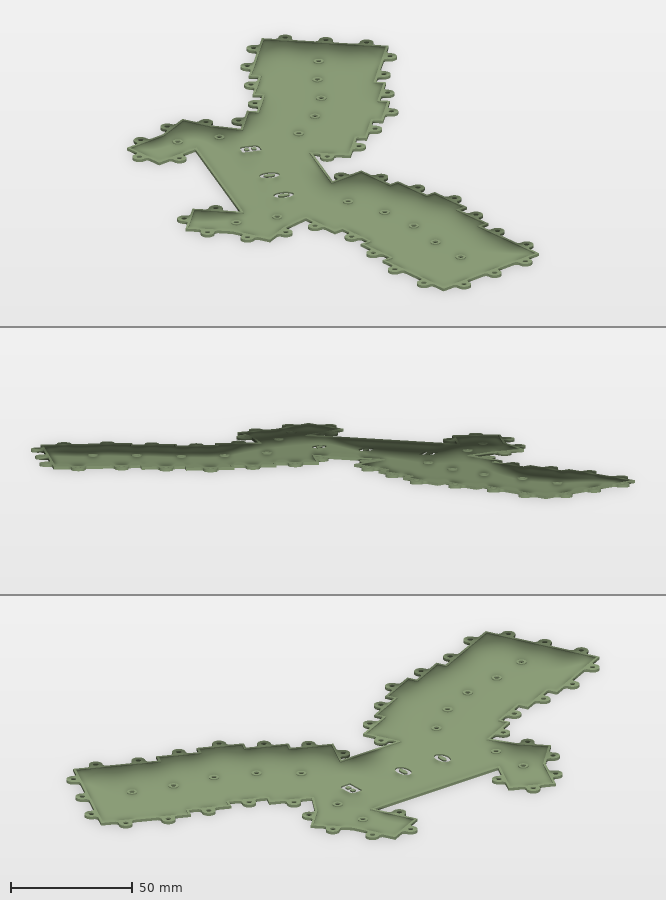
import cadquery as cq
import math

PLATE_T = 1.2
FLOOR_T = 0.7

KEY_W = 18.0
KEY_H = 17.0
STAGGER = 4.2
ROWS = 3
COLUMN_SHIFTS = [0, 0, STAGGER, 2 * STAGGER, STAGGER, 0]
COLUMNS = len(COLUMN_SHIFTS)

MARGIN = 1.0
RIM_W = MARGIN

WING_ANGLE = -25
FIRST_COLUMN_X = -124.3
FIRST_COLUMN_Y = -11.5

INNER_THUMB = (-36.7, -53.2)
INNER_THUMB_ANGLE = 25
OUTER_THUMB = (-48.7, -35.5)
OUTER_THUMB_ANGLE = 45
OUTER_THUMB_EDGE_END = 3.6

BRIDGE_TOP = 5.7
BRIDGE_BOTTOM = -39.3

HOLE_D = 2.2
BOSS_D = 4.2
TAB_R = 2.9
TAB_REACH = 2.0
TAB_FLARE_R = 1.5
TAB_ROOT = RIM_W / 2
THUMB_SCREWS = [(-41.2, -26.3), (-41.7, -44.0)]

SLOT_Y = -17.2
OVAL_SLOTS_X = [0, 20.3]
OVAL_SLOT_W = 5.7
OVAL_SLOT_H = 8.5
OVAL_WALL = 1.8
TWIN_SLOT_X = -27.4
TWIN_SLOT_W = 5.7
TWIN_SLOT_H = 8.3
TWIN_SLOT_CORNER_R = 2.0
TWIN_ISLAND = 1.8
TWIN_ISLAND_PITCH = 3.0

KEY_HALF_W = KEY_W / 2 + MARGIN
KEY_HALF_H = KEY_H / 2 + MARGIN
COLUMN_HALF_H = ROWS * KEY_H / 2 + MARGIN
WING_LEFT = FIRST_COLUMN_X - MARGIN
WING_RIGHT = FIRST_COLUMN_X + COLUMNS * KEY_W + MARGIN


def turned(x, y, angle, origin=(0, 0)):
    """Point (x, y) of axes that are turned by the angle and start at the origin given."""
    a = math.radians(angle)
    return (
        origin[0] + x * math.cos(a) - y * math.sin(a),
        origin[1] + x * math.sin(a) + y * math.cos(a),
    )


def crossing(p, q, r, s):
    """Point where the line through p and q meets the line through r and s."""
    dx1, dy1 = q[0] - p[0], q[1] - p[1]
    dx2, dy2 = s[0] - r[0], s[1] - r[1]
    t = ((r[0] - p[0]) * dy2 - (r[1] - p[1]) * dx2) / (dx1 * dy2 - dy1 * dx2)
    return (p[0] + t * dx1, p[1] + t * dy1)


def inset(points, distance):
    """Clockwise outline moved inward by the distance, with sharp corners."""
    edges = []
    for p, q in zip(points, points[1:] + points[:1]):
        length = math.dist(p, q)
        dx = (q[1] - p[1]) * distance / length
        dy = (p[0] - q[0]) * distance / length
        edges.append(((p[0] + dx, p[1] + dy), (q[0] + dx, q[1] + dy)))
    return [crossing(*before, *after) for before, after in zip(edges[-1:] + edges[:-1], edges)]


def mirrored(points):
    return [(-x, y) for x, y in points]


def wing(x, y):
    return turned(x, y, WING_ANGLE)


def inner_thumb(x, y):
    return turned(x, y, INNER_THUMB_ANGLE, INNER_THUMB)


def outer_thumb(x, y):
    return turned(x, y, OUTER_THUMB_ANGLE, OUTER_THUMB)


def column_middle_x(column):
    return FIRST_COLUMN_X + (column + 0.5) * KEY_W


def column_steps(side):
    """Corners of the steps between columns, outer end first; side is 1 on top, -1 below."""
    points = []
    for column in range(1, COLUMNS):
        before = COLUMN_SHIFTS[column - 1]
        after = COLUMN_SHIFTS[column]
        if before == after:
            continue
        rises = side * (after - before) > 0
        x = FIRST_COLUMN_X + column * KEY_W + (-MARGIN if rises else MARGIN)
        for shift in (before, after):
            points.append(wing(x, FIRST_COLUMN_Y + shift + side * COLUMN_HALF_H))
    return points


def wing_outline():
    """Wing edge, clockwise from the corner at the thumb keys to the inner top corner."""
    lower = column_steps(-1)[:-1]
    return (
        lower[::-1]
        + [wing(WING_LEFT, FIRST_COLUMN_Y - COLUMN_HALF_H)]
        + [wing(WING_LEFT, FIRST_COLUMN_Y + COLUMN_HALF_H)]
        + column_steps(1)
        + [wing(WING_RIGHT, FIRST_COLUMN_Y + COLUMN_SHIFTS[-1] + COLUMN_HALF_H)]
    )


def thumb_outline():
    """Thumb key edges, clockwise from the bridge to the gap beside the wing."""
    inner_right = (inner_thumb(KEY_HALF_W, 0), inner_thumb(KEY_HALF_W, 2.5))
    inner_left = (inner_thumb(-KEY_HALF_W, 0), inner_thumb(-KEY_HALF_W, 2.5))
    outer_left = (outer_thumb(-KEY_HALF_W, 0), outer_thumb(-KEY_HALF_W, 2.5))
    return [
        crossing(*inner_right, (0, BRIDGE_BOTTOM), (1, BRIDGE_BOTTOM)),
        inner_thumb(KEY_HALF_W, -KEY_HALF_H),
        inner_thumb(-KEY_HALF_W, -KEY_HALF_H),
        crossing(*inner_left, *outer_left),
        outer_thumb(-KEY_HALF_W, KEY_HALF_H),
        outer_thumb(OUTER_THUMB_EDGE_END, KEY_HALF_H),
    ]


def plate_outline():
    """Whole plate edge, clockwise; the right half mirrors the left."""
    wing_end = (wing(WING_RIGHT, 0), wing(WING_RIGHT, 2.5))
    notch_corner = crossing(*wing_end, (0, BRIDGE_TOP), (1, BRIDGE_TOP))
    left = thumb_outline() + wing_outline() + [notch_corner]
    return left + mirrored(left)[::-1]


def tab_places():
    """Foot point on the plate edge and turn of every tab of the left half."""
    places = []
    for column, shift in enumerate(COLUMN_SHIFTS):
        x = column_middle_x(column)
        y = FIRST_COLUMN_Y + shift
        places.append((wing(x, y + COLUMN_HALF_H), WING_ANGLE))
        if column < COLUMNS - 1:
            places.append((wing(x, y - COLUMN_HALF_H), WING_ANGLE + 180))
    for row in (-1, 0, 1):
        places.append((wing(WING_LEFT, FIRST_COLUMN_Y + row * KEY_H), WING_ANGLE + 90))
    top_row_y = FIRST_COLUMN_Y + COLUMN_SHIFTS[-1] + KEY_H
    places.append((wing(WING_RIGHT, top_row_y), WING_ANGLE - 90))
    places.append((outer_thumb(0, KEY_HALF_H), OUTER_THUMB_ANGLE))
    places.append((outer_thumb(-KEY_HALF_W, 0), OUTER_THUMB_ANGLE + 90))
    places.append((inner_thumb(-KEY_HALF_W, 0), INNER_THUMB_ANGLE + 90))
    places.append((inner_thumb(0, -KEY_HALF_H), INNER_THUMB_ANGLE + 180))
    places.append((inner_thumb(KEY_HALF_W, 0), INNER_THUMB_ANGLE - 90))
    return places


def make_tab():
    """Round tab with a hole, pointing to +Y, whose flared foot stands on the X axis."""
    centres = TAB_R + TAB_FLARE_R
    drop = TAB_REACH - TAB_FLARE_R
    flare_x = math.sqrt(centres**2 - drop**2)
    touch = (flare_x * TAB_R / centres, TAB_REACH - drop * TAB_R / centres)
    touch_angle = math.pi - math.asin(drop / centres)
    mid_angle = (touch_angle + 1.5 * math.pi) / 2
    mid = (
        flare_x + TAB_FLARE_R * math.cos(mid_angle),
        TAB_FLARE_R + TAB_FLARE_R * math.sin(mid_angle),
    )
    body = (
        cq.Workplane("XY")
        .moveTo(flare_x, -TAB_ROOT)
        .lineTo(flare_x, 0)
        .threePointArc(mid, touch)
        .threePointArc((0, TAB_REACH + TAB_R), (-touch[0], touch[1]))
        .threePointArc((-mid[0], mid[1]), (-flare_x, 0))
        .lineTo(-flare_x, -TAB_ROOT)
        .close()
        .extrude(PLATE_T)
    )
    hole = cq.Workplane("XY").center(0, TAB_REACH).circle(HOLE_D / 2).extrude(PLATE_T)
    return body.cut(hole)


def make_tabs():
    """All tabs of both halves."""
    pattern = make_tab()
    tabs = []
    for (x, y), angle in tab_places():
        tab = pattern.rotate((0, 0, 0), (0, 0, 1), angle).translate((x, y, 0))
        tabs.append(tab.val())
        tabs.append(tab.mirror("YZ").val())
    return tabs


def screw_places():
    """Screws between neighbouring columns and in the thumb areas, both halves."""
    places = list(THUMB_SCREWS)
    for column in range(1, COLUMNS):
        shift = (COLUMN_SHIFTS[column - 1] + COLUMN_SHIFTS[column]) / 2
        places.append(wing(FIRST_COLUMN_X + column * KEY_W, FIRST_COLUMN_Y + shift))
    return places + mirrored(places)


def screw_cylinders(diameter):
    return cq.Workplane("XY").pushPoints(screw_places()).circle(diameter / 2).extrude(PLATE_T)


def make_oval_islands():
    return (
        cq.Workplane("XY")
        .pushPoints([(x, SLOT_Y) for x in OVAL_SLOTS_X])
        .ellipse(OVAL_SLOT_W / 2 - OVAL_WALL, OVAL_SLOT_H / 2 - OVAL_WALL)
        .extrude(FLOOR_T)
    )


def make_twin_islands():
    offset = TWIN_ISLAND_PITCH / 2
    return (
        cq.Workplane("XY")
        .pushPoints([(TWIN_SLOT_X, SLOT_Y + offset), (TWIN_SLOT_X, SLOT_Y - offset)])
        .rect(TWIN_ISLAND, TWIN_ISLAND)
        .extrude(FLOOR_T)
    )


def oval_openings():
    return (
        cq.Workplane("XY")
        .pushPoints([(x, SLOT_Y) for x in OVAL_SLOTS_X])
        .ellipse(OVAL_SLOT_W / 2, OVAL_SLOT_H / 2)
        .extrude(FLOOR_T)
    )


def twin_opening():
    """Opening around both square islands, rounded on its -X side."""
    return (
        cq.Workplane("XY")
        .center(TWIN_SLOT_X, SLOT_Y)
        .rect(TWIN_SLOT_W, TWIN_SLOT_H)
        .extrude(FLOOR_T)
        .edges("|Z and <X")
        .fillet(TWIN_SLOT_CORNER_R)
    )


def make_plate():
    outline = plate_outline()
    slab = cq.Workplane("XY").polyline(outline).close().extrude(PLATE_T)
    recess = (
        cq.Workplane("XY")
        .workplane(offset=FLOOR_T)
        .polyline(inset(outline, RIM_W))
        .close()
        .extrude(PLATE_T - FLOOR_T)
    )
    plate = cq.Workplane(slab.val().fuse(*make_tabs()))
    return (
        plate.cut(recess)
        .union(screw_cylinders(BOSS_D))
        .cut(screw_cylinders(HOLE_D))
        .cut(oval_openings())
        .cut(twin_opening())
    )


plate = make_plate()
oval_islands = make_oval_islands()
twin_islands = make_twin_islands()
result = cq.Compound.makeCompound([plate.val(), *oval_islands.vals(), *twin_islands.vals()])